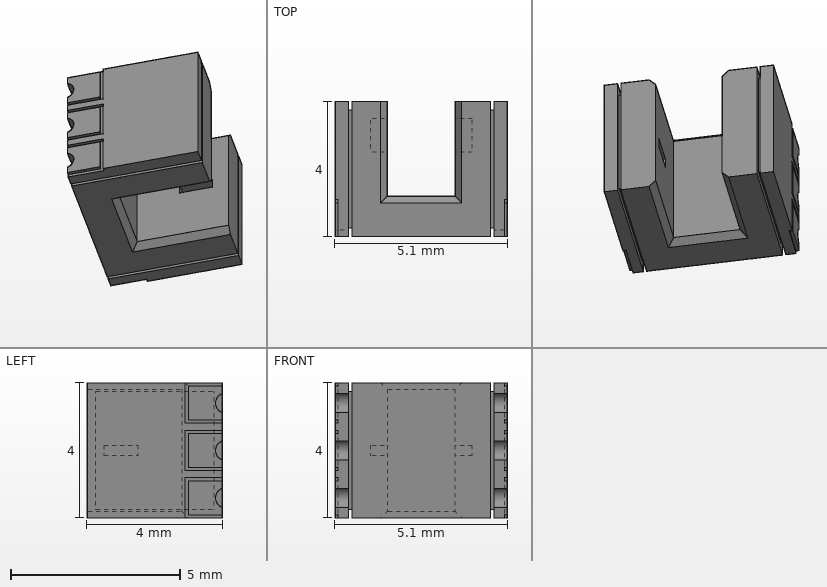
import cadquery as cq

length = 5.1
side = 4.0
front_y = -side / 2

plate_thickness = 0.405
spacer_thickness = 0.095
body_length = length - 2 * (plate_thickness + spacer_thickness)
spacer_inset = 0.25

slot_width = 2.0
slot_floor_thickness = 1.2
flare_size = 0.2

window_height = 0.3
window_length = 1.0
window_depth = 0.5
window_y = 1.0

pad_count = 3
pad_size = 1.0
groove_width = 0.095
groove_depth = 0.09
notch_radius = 0.3
notch_offset = 0.1
framed_pad_height = pad_size + 2 * groove_width
framed_pad_length = pad_size + groove_width
pad_pitch = (side - framed_pad_height) / (pad_count - 1)
pad_heights = [(i - (pad_count - 1) / 2) * pad_pitch for i in range(pad_count)]


def slot_section(plane_z, widening):
    """Slot outline at a given height, moved outward by the widening."""
    floor_y = front_y + slot_floor_thickness - widening
    half_width = slot_width / 2 + widening
    return (
        cq.Workplane("XY", origin=(0, 0, plane_z))
        .moveTo(-half_width, floor_y)
        .lineTo(half_width, floor_y)
        .lineTo(half_width, side / 2)
        .lineTo(-half_width, side / 2)
        .close()
    )


def make_top_flare():
    """Tapered mouth of the slot at the top of the body."""
    throat = slot_section(side / 2 - flare_size, 0).wire().val()
    mouth = slot_section(side / 2, flare_size).wire().val()
    return cq.Workplane(cq.Solid.makeLoft([throat, mouth], True))


def make_body():
    """U-shaped central body with flared slot and wall windows."""
    body = cq.Workplane().box(body_length, side, side)
    body = body.cut(slot_section(-side / 2, 0).extrude(side))
    top_flare = make_top_flare()
    body = body.cut(top_flare).cut(top_flare.mirror("XY"))
    windows = (
        cq.Workplane()
        .box(slot_width + 2 * window_depth, window_length, window_height)
        .translate((0, window_y, 0))
    )
    return body.cut(windows)


def pad_groove(z):
    """Three-sided groove around the left pad at height z, open at the front."""
    frame = cq.Workplane().box(
        groove_depth, framed_pad_length, framed_pad_height, centered=(False, False, True)
    )
    pad = cq.Workplane().box(groove_depth, pad_size, pad_size, centered=(False, False, True))
    return frame.cut(pad).translate((-length / 2, front_y, z))


def pad_notch(z):
    """Round notch through the left plate at the front edge of a pad."""
    return (
        cq.Workplane("YZ", origin=(-length / 2, front_y - notch_offset, z))
        .circle(notch_radius)
        .extrude(plate_thickness)
    )


def make_left_end():
    """Terminal plate and spacer on the -X end."""
    plate = (
        cq.Workplane()
        .box(plate_thickness, side, side)
        .translate(((plate_thickness - length) / 2, 0, 0))
    )
    for z in pad_heights:
        plate = plate.cut(pad_groove(z)).cut(pad_notch(z))
    spacer_side = side - 2 * spacer_inset
    spacer = (
        cq.Workplane()
        .box(spacer_thickness, spacer_side, spacer_side)
        .translate((-(body_length + spacer_thickness) / 2, 0, 0))
    )
    return plate.union(spacer)


left_end = make_left_end()
result = make_body().union(left_end).union(left_end.mirror("YZ"))